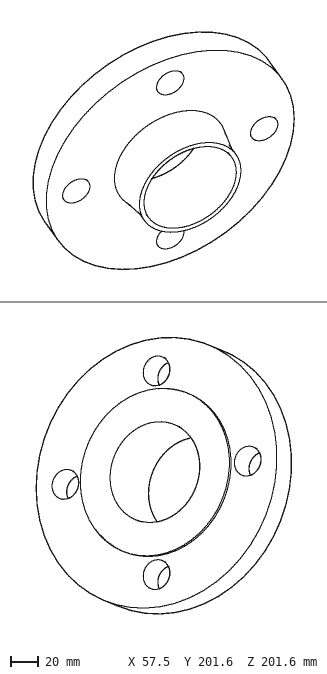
import cadquery as cq

flange_diameter = 201.6
flange_thickness = 22.0
face_diameter = 124.8
face_height = 2.5
hub_diameter = 90.7
neck_diameter = 82.5
neck_length = 9.7
total_length = 57.5
bore_diameter = 75.0

bolt_circle_diameter = 152.6
bolt_hole_diameter = 22.2
bolt_hole_count = 4

flange_back = face_height + flange_thickness
neck_start = total_length - neck_length


def flange_body():
    """Revolve the half section: raised face, flange disc, tapered hub, neck and bore."""
    half_section = [
        (0, bore_diameter / 2),
        (0, face_diameter / 2),
        (face_height, face_diameter / 2),
        (face_height, flange_diameter / 2),
        (flange_back, flange_diameter / 2),
        (flange_back, hub_diameter / 2),
        (neck_start, neck_diameter / 2),
        (total_length, neck_diameter / 2),
        (total_length, bore_diameter / 2),
    ]
    return cq.Workplane("XY").polyline(half_section).close().revolve(360, (0, 0, 0), (1, 0, 0))


def bolt_holes():
    """Through-hole cutters, evenly spaced and starting on the Y axis."""
    return (
        cq.Workplane("YZ")
        .polarArray(bolt_circle_diameter / 2, 0, 360, bolt_hole_count)
        .circle(bolt_hole_diameter / 2)
        .extrude(total_length)
    )


result = flange_body().cut(bolt_holes())